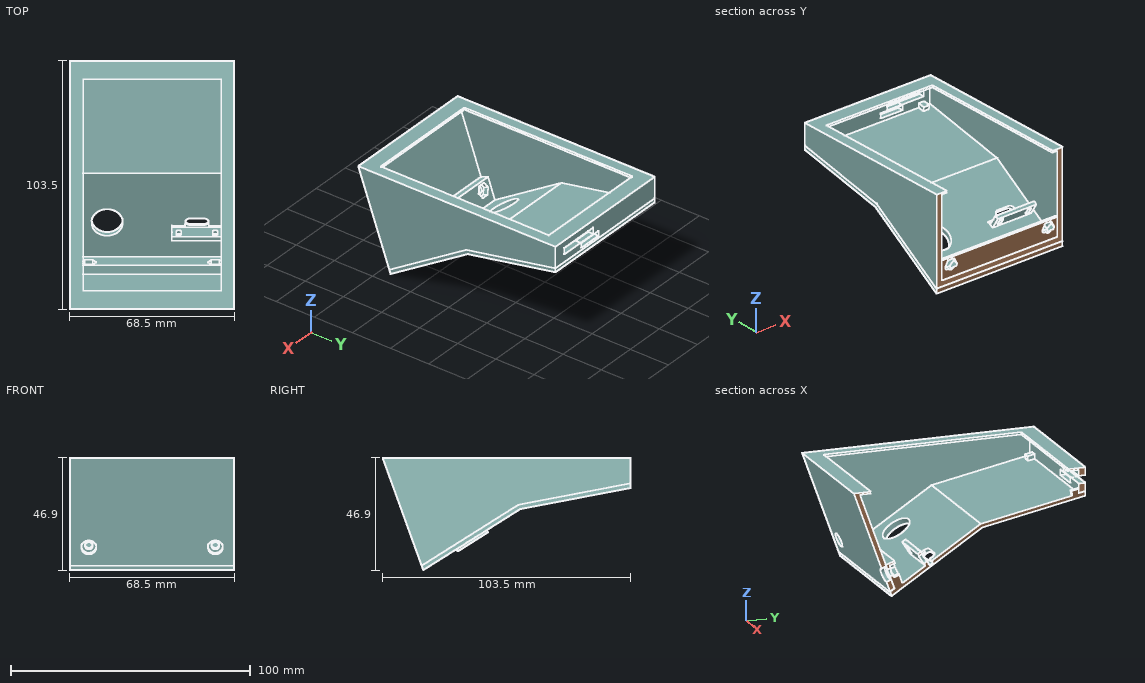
import cadquery as cq
import math

WIDTH = 68.5
LENGTH = 103.5
HEIGHT = 46.9

FRONT_SETBACK = 17.0
BEND_Y = 57.4
BEND_DEPTH = 21.4
REAR_DEPTH = 12.6

WALL = 3.0
FRONT_WALL = 2.5
RIM_THICKNESS = 1.0
RIM_SIDE = 5.5
RIM_END = 7.7

PLATE_THICKNESS = 2.0
RIB_THICKNESS = 3.9
RIB_HEIGHT = 10.7

SCREW_X = 26.4
SCREW_DEPTH = 37.4
SCREW_HOLE_D = 3.2
SCREW_HEAD_D = 6.2
SCREW_HEAD_DEPTH = 2.0
NUT_CORNERS = 6.4
NUT_DEPTH = 2.5

PORT_X = 18.7
PORT_DISTANCE = 24.3
JACK_HOLE_D = 13.0
COLLAR_D = 15.0
COLLAR_HEIGHT = 1.0
SLOT_LENGTH = 9.7
SLOT_WIDTH = 3.8
RELIEF_LENGTH = 9.8

BOARD_WIDTH = 21.0
GROOVE_DEPTH = 1.0
GROOVE_START = 25.9
GROOVE_WIDTH = 1.6
HOLDER_HEIGHT = 6.4
HOLDER_THICKNESS = 1.8
HOLDER_SLOT_WIDTH = 2.1
HOLDER_SLOT_LENGTH = 3.9
HOLDER_SLOT_HEIGHT = 3.1
HOLDER_SLOT_SPACING = 15.2

REAR_WINDOW_X = 18.1
REAR_WINDOW_WIDTH = 20.0
REAR_WINDOW_TOP = -3.6
REAR_WINDOW_BOTTOM = -6.8
REAR_SLOT_X = 10.6
REAR_SLOT_WIDTH = 11.9
REAR_SLOT_TOP = -7.1
REAR_SLOT_BOTTOM = -9.5

LUG_X = 26.8
LUG_WIDTH = 3.0
LUG_LENGTH = 3.0
LUG_HEIGHT = 2.1


def offset_line(start, end, distance):
    """Line through two (Y, Z) points, moved sideways to the left of its direction."""
    length = math.dist(start, end)
    shift_y = -(end[1] - start[1]) / length * distance
    shift_z = (end[0] - start[0]) / length * distance
    return ((start[0] + shift_y, start[1] + shift_z), (end[0] + shift_y, end[1] + shift_z))


def meet(first, second):
    """Point where two (Y, Z) lines cross."""
    (y1, z1), (y2, z2) = first
    (y3, z3), (y4, z4) = second
    cross = (y2 - y1) * (z4 - z3) - (z2 - z1) * (y4 - y3)
    along = ((y3 - y1) * (z4 - z3) - (z3 - z1) * (y4 - y3)) / cross
    return (y1 + along * (y2 - y1), z1 + along * (z2 - z1))


def level_line(z):
    return ((0.0, z), (LENGTH, z))


def upright_line(y):
    return ((y, 0.0), (y, -HEIGHT))


def prism(points, width):
    """Solid with a (Y, Z) outline, centred across X."""
    return cq.Workplane("YZ").polyline(points).close().extrude(width / 2, both=True)


def box_between(x_range, y_range, z_range):
    sizes = [high - low for low, high in (x_range, y_range, z_range)]
    corner = (x_range[0], y_range[0], z_range[0])
    return cq.Workplane("XY").box(*sizes, centered=False).translate(corner)


rim_front = (0.0, 0.0)
rim_rear = (LENGTH, 0.0)
foot_front = (FRONT_SETBACK, -HEIGHT)
bend = (BEND_Y, -BEND_DEPTH)
foot_rear = (LENGTH, -REAR_DEPTH)

front_floor = offset_line(foot_front, bend, PLATE_THICKNESS)
rear_floor = offset_line(bend, foot_rear, PLATE_THICKNESS)
front_outside = (rim_front, foot_front)
front_inside = offset_line(*front_outside, FRONT_WALL)
rib_inside = offset_line(*front_outside, FRONT_WALL + RIB_THICKNESS)

floor_bend = meet(front_floor, rear_floor)
seam_front = meet(front_floor, front_outside)
seam_rear = meet(rear_floor, upright_line(LENGTH))

INSIDE_WIDTH = WIDTH - 2 * WALL
INSIDE_REAR = LENGTH - WALL

rear_angle = math.atan2(foot_rear[1] - bend[1], foot_rear[0] - bend[0])

slope_angle = math.atan2(bend[1] - foot_front[1], bend[0] - foot_front[0])
slope_up = (0.0, math.cos(slope_angle), math.sin(slope_angle))
slope_out = (0.0, -math.sin(slope_angle), math.cos(slope_angle))
slope_plane = cq.Plane(origin=(0.0, *floor_bend), xDir=(1, 0, 0), normal=slope_out)

lean_angle = math.atan2(FRONT_SETBACK, HEIGHT)
inward = (0.0, math.cos(lean_angle), math.sin(lean_angle))
screw_origin = (0.0, SCREW_DEPTH * math.tan(lean_angle), -SCREW_DEPTH)
screw_plane = cq.Plane(origin=screw_origin, xDir=(1, 0, 0), normal=inward)
SCREW_POINTS = [(-SCREW_X, 0), (SCREW_X, 0)]


def slope_box(x_centre, x_size, down_start, down_size, bottom, top):
    """Block square to the slope, placed by its distance down from the bend."""
    return (
        cq.Workplane(slope_plane)
        .workplane(offset=bottom)
        .center(x_centre, -down_start - down_size / 2)
        .rect(x_size, down_size)
        .extrude(top - bottom)
    )


def screw_holes():
    depth = FRONT_WALL + RIB_THICKNESS
    return cq.Workplane(screw_plane).pushPoints(SCREW_POINTS).circle(SCREW_HOLE_D / 2).extrude(depth)


def rear_opening(x_centre, width, bottom, top):
    half = width / 2
    return box_between((x_centre - half, x_centre + half), (INSIDE_REAR, LENGTH), (bottom, top))


def make_housing():
    shell = prism([rim_front, seam_front, floor_bend, seam_rear, rim_rear], WIDTH)

    rim_underside = level_line(-RIM_THICKNESS)
    rear_inside = upright_line(INSIDE_REAR)
    cavity = prism(
        [
            meet(front_inside, rim_underside),
            meet(front_inside, front_floor),
            floor_bend,
            meet(rear_inside, rear_floor),
            meet(rear_inside, rim_underside),
        ],
        INSIDE_WIDTH,
    )
    half_opening = WIDTH / 2 - RIM_SIDE
    opening = box_between(
        (-half_opening, half_opening), (RIM_END, LENGTH - RIM_END), (-RIM_THICKNESS, 0.0)
    )
    head_recesses = (
        cq.Workplane(screw_plane).pushPoints(SCREW_POINTS).circle(SCREW_HEAD_D / 2).extrude(SCREW_HEAD_DEPTH)
    )
    housing = shell.cut(cavity).cut(opening).cut(screw_holes()).cut(head_recesses)
    window = rear_opening(REAR_WINDOW_X, REAR_WINDOW_WIDTH, REAR_WINDOW_BOTTOM, REAR_WINDOW_TOP)
    slot = rear_opening(REAR_SLOT_X, REAR_SLOT_WIDTH, REAR_SLOT_BOTTOM, REAR_SLOT_TOP)
    return housing.cut(window).cut(slot)


def make_rib():
    """Full-width rib behind the front wall, with a nut pocket behind each screw hole."""
    foot_outer = meet(front_inside, front_floor)
    foot_inner = meet(rib_inside, front_floor)
    top_inner = (
        foot_inner[0] - RIB_HEIGHT * math.sin(lean_angle),
        foot_inner[1] + RIB_HEIGHT * math.cos(lean_angle),
    )
    top_outer = (top_inner[0] - RIB_THICKNESS * inward[1], top_inner[1] - RIB_THICKNESS * inward[2])
    rib = prism([foot_outer, foot_inner, top_inner, top_outer], INSIDE_WIDTH)
    nut_pockets = (
        cq.Workplane(screw_plane)
        .workplane(offset=FRONT_WALL + RIB_THICKNESS - NUT_DEPTH)
        .pushPoints(SCREW_POINTS)
        .polygon(6, NUT_CORNERS)
        .extrude(NUT_DEPTH)
    )
    return rib.cut(screw_holes()).cut(nut_pockets)


def make_holder():
    """Upright wall with two slotted holes, standing in front of the board groove."""
    face_distance = GROOVE_START + GROOVE_WIDTH
    wall = slope_box(PORT_X, BOARD_WIDTH, face_distance, HOLDER_THICKNESS, -GROOVE_DEPTH, HOLDER_HEIGHT)
    face_origin = slope_plane.toWorldCoords((PORT_X, -face_distance, HOLDER_SLOT_HEIGHT))
    face_plane = cq.Plane(origin=face_origin, xDir=(1, 0, 0), normal=slope_up)
    half_spacing = HOLDER_SLOT_SPACING / 2
    slots = (
        cq.Workplane(face_plane)
        .pushPoints([(-half_spacing, 0), (half_spacing, 0)])
        .slot2D(HOLDER_SLOT_LENGTH, HOLDER_SLOT_WIDTH, 90)
        .extrude(-HOLDER_THICKNESS)
    )
    return wall.cut(slots)


def make_lug(x_centre):
    """Low block square to the rear floor, reaching back to the rear wall."""
    top_line = offset_line(*rear_floor, LUG_HEIGHT)
    rear_inside = upright_line(INSIDE_REAR)
    foot_rear_end = meet(rear_floor, rear_inside)
    foot_front_end = (
        foot_rear_end[0] - LUG_LENGTH * math.cos(rear_angle),
        foot_rear_end[1] - LUG_LENGTH * math.sin(rear_angle),
    )
    top_front_end = (
        foot_front_end[0] - LUG_HEIGHT * math.sin(rear_angle),
        foot_front_end[1] + LUG_HEIGHT * math.cos(rear_angle),
    )
    outline = [foot_front_end, foot_rear_end, meet(top_line, rear_inside), top_front_end]
    return prism(outline, LUG_WIDTH).translate((x_centre, 0, 0))


def make_plate():
    slab = prism([seam_front, foot_front, bend, foot_rear, seam_rear, floor_bend], WIDTH)

    jack_plane = cq.Workplane(slope_plane).center(-PORT_X, -PORT_DISTANCE)
    collar_depth = PLATE_THICKNESS + COLLAR_HEIGHT
    collar = jack_plane.workplane(offset=-collar_depth).circle(COLLAR_D / 2).extrude(COLLAR_HEIGHT)
    jack_hole = jack_plane.circle(JACK_HOLE_D / 2).extrude(-collar_depth)

    slot = (
        cq.Workplane(slope_plane)
        .center(PORT_X, -PORT_DISTANCE)
        .slot2D(SLOT_LENGTH, SLOT_WIDTH)
        .extrude(-PLATE_THICKNESS)
    )
    groove = slope_box(PORT_X, BOARD_WIDTH, GROOVE_START, GROOVE_WIDTH, -GROOVE_DEPTH, 0.0)
    relief_size = GROOVE_START - PORT_DISTANCE
    relief = slope_box(PORT_X, RELIEF_LENGTH, PORT_DISTANCE, relief_size, -GROOVE_DEPTH, 0.0)

    plate = slab.union(collar).cut(jack_hole).cut(slot).cut(groove).cut(relief)
    plate = plate.union(make_rib()).union(make_holder())
    for side in (-1, 1):
        plate = plate.union(make_lug(side * LUG_X))
    return plate


housing = make_housing()
base_plate = make_plate()
result = cq.Compound.makeCompound([housing.val(), base_plate.val()])